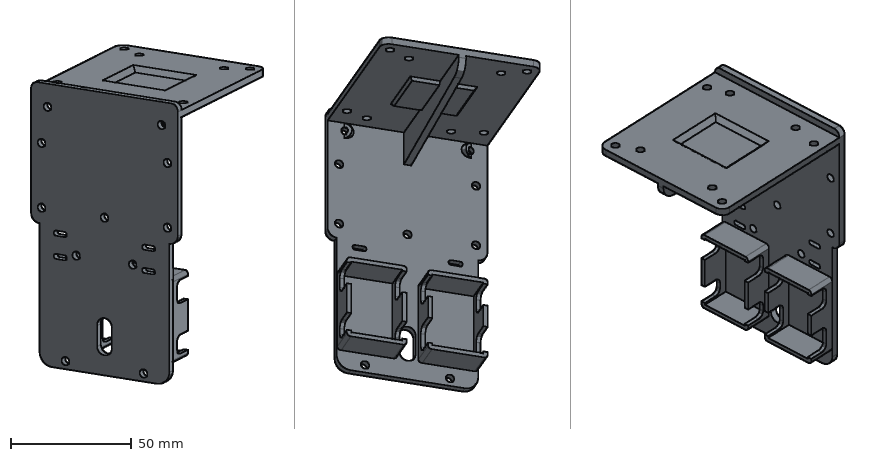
import cadquery as cq
import math

height = 122.4
width = 70.0
depth = 75.0
thickness = 3.2

shoulder_height = 61.4
shoulder_radius = 4.0
lower_width = width - 2 * shoulder_radius
wall_top_radius = 3.0
wall_bottom_radius = 6.0

lip_height = 3.2
shelf_top = height - lip_height
shelf_bottom = shelf_top - thickness
shelf_corner_radius = 4.0

tray_length_x = 29.9
tray_length_y = 26.1
tray_center_y = 37.9
tray_inset = 2.1
tray_depth = 2.5
tray_drop = 1.3
tray_skin_length_x = 29.4
tray_skin_length_y = 25.6
tray_skin_inset = 1.1

rib_thickness = 3.2
rib_foot = 101.0
rib_tip = 109.2
rib_nose_radius = 6.5

hole_diameter = 3.5
side_hole_x = 30.0
side_hole_heights = (68.3, 96.3)
cable_hole_x = 13.5
cable_hole_height = 49.9
foot_hole_x = 18.6
foot_hole_height = 3.5
corner_hole_x = 30.0
corner_hole_places = (13.5, 70.0)
shelf_hole_x = 20.2
shelf_front_hole_y = 10.2
shelf_rear_hole_y = 65.3
shelf_odd_hole_x = -16.8

strap_slot_length = 6.1
strap_slot_width = 2.2
strap_slot_x = 21.0
strap_slot_heights = (48.2, 58.2)
long_slot_length = 16.0
long_slot_width = 7.0
long_slot_height = 16.8

seat_hole_x = 27.2
seat_hole_height = 112.3
seat_slant = 35.0
seat_center_x = 27.8
seat_diameter = 6.9
seat_bore_diameter = 3.2

box_step = 0.1
box_outer_x = lower_width / 2 - box_step
box_bottom = 8.7
box_top = 45.9
box_reach = 12.8
box_inner_x = 4.7
box_skin = 2.0
box_edge_radius = 1.6
notch_floor = thickness + 3.5
notch_radius = 2.8
upper_notch = (33.4, 43.5)
lower_notch = (11.5, 19.7)
tall_lower_notch = (11.5, 23.4)

sides = (-1, 1)


def box_between(x_range, y_range, z_range):
    """Block filling the given ranges."""
    ranges = (x_range, y_range, z_range)
    size = [high - low for low, high in ranges]
    corner = tuple(low for low, high in ranges)
    return cq.Workplane("XY").box(*size, centered=False).translate(corner)


def make_wall():
    """Wall with a wide upper part, rounded shoulders and a narrower lower part."""
    lower_top = shoulder_height + shoulder_radius
    lower = box_between((-lower_width / 2, lower_width / 2), (0, thickness), (0, lower_top))
    lower = lower.edges("|Y and <Z").fillet(wall_bottom_radius)
    upper = box_between((-width / 2, width / 2), (0, thickness), (shoulder_height, height))
    upper = upper.edges("|Y and >Z").fillet(wall_top_radius)
    upper = upper.edges("|Y and <Z").fillet(shoulder_radius)
    return upper.union(lower)


def make_shelf():
    """Flat shelf reaching back from the wall, just below its top lip."""
    shelf = box_between((-width / 2, width / 2), (0, depth), (shelf_bottom, shelf_top))
    return shelf.edges("|Z and >Y").fillet(shelf_corner_radius)


def make_rib():
    """Tapered rib on the center plane, with a rounded nose under the shelf's free edge."""
    profile = [(0, shelf_top), (depth, shelf_top), (depth, rib_tip), (thickness, rib_foot), (0, rib_foot)]
    rib = cq.Workplane("YZ").polyline(profile).close().extrude(rib_thickness / 2, both=True)
    nose = cq.selectors.NearestToPointSelector((0, depth, rib_tip))
    rib = rib.edges("|X").edges(nose).fillet(rib_nose_radius)
    return rib.cut(box_between((-width, width), (-depth, depth), (shelf_bottom + thickness / 2, height)))


def frustum(length_x, length_y, inset, top, drop):
    """Rectangular frustum centered on the tray, narrowing downward by inset on every side."""
    return (
        cq.Workplane("XY", origin=(0, tray_center_y, top))
        .rect(length_x, length_y)
        .workplane(offset=-drop)
        .rect(length_x - 2 * inset, length_y - 2 * inset)
        .loft(ruled=True)
    )


def tray_skin():
    """Shallow bulge under the shelf that carries the tray floor."""
    return frustum(tray_skin_length_x, tray_skin_length_y, tray_skin_inset, shelf_bottom, tray_drop)


def tray_pocket():
    """Pocket sunk into the top of the shelf."""
    return frustum(tray_length_x, tray_length_y, tray_inset, shelf_top, tray_depth)


def make_box_shell(side):
    """Open box behind the lower wall, with notches cut through its two side skins."""
    y_range = (thickness / 2, thickness + box_reach)
    shell = box_between((box_inner_x, box_outer_x), y_range, (box_bottom, box_top))
    shell = shell.edges("|Y").fillet(box_edge_radius)
    cavity = box_between(
        (box_inner_x + box_skin, box_outer_x - box_skin),
        (thickness, thickness + box_reach),
        (box_bottom + box_skin, box_top - box_skin),
    )
    shell = shell.cut(cavity)
    low_notch = tall_lower_notch if side < 0 else lower_notch
    for z_range in (upper_notch, low_notch):
        notch = box_between((0, width), (notch_floor, depth), z_range)
        shell = shell.cut(notch.edges("|X and <Y").fillet(notch_radius))
    return shell if side > 0 else shell.mirror("YZ")


def wall_holes():
    """Round holes through the wall."""
    places = [(side * side_hole_x, z) for side in sides for z in side_hole_heights]
    places += [(side * cable_hole_x, cable_hole_height) for side in sides]
    places += [(side * seat_hole_x, seat_hole_height) for side in sides]
    places += [(side * foot_hole_x, foot_hole_height) for side in sides]
    places.append((0, side_hole_heights[0]))
    return cq.Workplane("XZ").pushPoints(places).circle(hole_diameter / 2).extrude(-thickness)


def wall_slots():
    """Four short strap slots and one long upright slot."""
    places = [(side * strap_slot_x, z) for side in sides for z in strap_slot_heights]
    strap_slots = (
        cq.Workplane("XZ")
        .pushPoints(places)
        .slot2D(strap_slot_length, strap_slot_width)
        .extrude(-thickness)
    )
    long_slot = (
        cq.Workplane("XZ")
        .center(0, long_slot_height)
        .slot2D(long_slot_length, long_slot_width, 90)
        .extrude(-thickness)
    )
    return strap_slots.union(long_slot)


def shelf_holes():
    """Four corner holes and four inner holes through the shelf."""
    corner_places = [(side * corner_hole_x, y) for side in sides for y in corner_hole_places]
    inner_places = [(side * shelf_hole_x, shelf_rear_hole_y) for side in sides]
    inner_places += [(shelf_hole_x, shelf_front_hole_y), (shelf_odd_hole_x, shelf_front_hole_y)]
    return (
        cq.Workplane("XY", origin=(0, 0, shelf_bottom))
        .pushPoints(corner_places + inner_places)
        .circle(hole_diameter / 2)
        .extrude(thickness)
    )


def slanted_seat(side):
    """Bored round seat facing back and outward, kept only where it stands out of the wall."""
    angle = math.radians(seat_slant)
    into_wall = cq.Vector(-side * math.sin(angle), -math.cos(angle), 0)
    face_center = cq.Vector(side * seat_center_x, thickness, seat_hole_height)
    length = 2 * thickness
    seat = cq.Workplane(cq.Solid.makeCylinder(seat_diameter / 2, length, face_center, into_wall))
    bore = cq.Workplane(cq.Solid.makeCylinder(seat_bore_diameter / 2, length, face_center, into_wall))
    behind_wall = box_between((-width, width), (thickness / 2, depth), (0, height))
    return seat.cut(bore).intersect(behind_wall)


result = make_wall().union(make_shelf()).union(make_rib()).union(tray_skin())
for side in sides:
    result = result.union(make_box_shell(side)).union(slanted_seat(side))
result = result.cut(tray_pocket()).cut(wall_holes()).cut(wall_slots()).cut(shelf_holes())